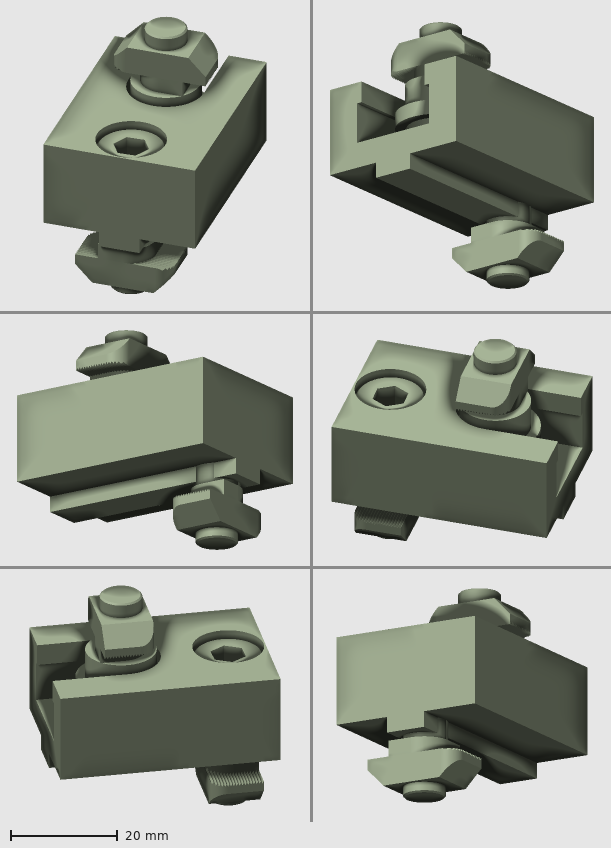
import cadquery as cq
import math


block_width = 30.0
block_length = 42.0
block_height = 17.0
tongue_width = 8.0
tongue_height = 3.03

screw_diameter = 8.0
screw_tip_chamfer = 0.3
head_diameter = 13.0
head_height = 5.0
head_chamfer = 0.3
socket_across_flats = 6.0
socket_depth = 4.45
socket_turn = 2.0

lower_screw_y = -13.97
lower_screw_tip = 11.5
head_recess = 1.5
counterbore_diameter = 13.45
clearance_diameter = 9.0

nut_length = 18.95
nut_depth = 9.85
nut_height = 5.5
nut_straight_height = 2.0
nut_slope_run = 3.43
nut_corner_radius = 3.0
neck_width = 9.8
neck_height = 3.05
neck_corner_radius = 5.0
groove_count = 18
groove_angle = 60.0
lower_nut_gap = 0.95

slide_y = 6.5
bush_neck_diameter = 13.45
bush_neck_projection = 1.5
bush_flange_diameter = 17.1
bush_flange_height = 2.9
slot_width = 14.95
slot_lip = 4.15

upper_screw_tip = 13.0

tongue_bottom = -block_height - tongue_height
lower_head_seat = -head_recess - head_height
lower_shank_length = lower_head_seat - (tongue_bottom - lower_screw_tip)
flange_bottom = -slot_lip - bush_flange_height
upper_shank_length = upper_screw_tip - flange_bottom
slot_depth = head_height - flange_bottom


def cylinder(diameter, height, bottom=0.0, y=0.0):
    """Upright cylinder standing at the given height on the block's centre plane."""
    return cq.Workplane("XY", origin=(0, y, bottom)).circle(diameter / 2).extrude(height)


def slot_cutter(width, bottom, top):
    """Slot with a round inner end, open at the block's +Y end."""
    straight_length = block_length / 2 - slide_y
    straight = (
        cq.Workplane("XY", origin=(0, slide_y + straight_length / 2, bottom))
        .rect(width, straight_length)
        .extrude(top - bottom)
    )
    return straight.union(cylinder(width, top - bottom, bottom, slide_y))


def make_block():
    """Block with a tongue below, a T-slot above and a counterbored screw hole."""
    body = cq.Workplane("XY").rect(block_width, block_length).extrude(-block_height)
    tongue = (
        cq.Workplane("XY", origin=(0, 0, -block_height))
        .rect(tongue_width, block_length)
        .extrude(-tongue_height)
    )
    clearance_hole = cylinder(clearance_diameter, -tongue_bottom, tongue_bottom, lower_screw_y)
    counterbore = cylinder(counterbore_diameter, -lower_head_seat, lower_head_seat, lower_screw_y)
    return (
        body.union(tongue)
        .cut(clearance_hole)
        .cut(counterbore)
        .cut(slot_cutter(slot_width, -slot_lip, 0.0))
        .cut(slot_cutter(bush_flange_diameter, -slot_depth, -slot_lip))
    )


def make_screw(shank_length):
    """Cap screw along Z: head above Z = 0, shank below it."""
    head = cylinder(head_diameter, head_height).faces(">Z").chamfer(head_chamfer)
    shank = cylinder(screw_diameter, shank_length, -shank_length).faces("<Z").chamfer(screw_tip_chamfer)
    socket_corner_diameter = socket_across_flats / math.cos(math.radians(30))
    socket = (
        cq.Workplane("XY", origin=(0, 0, head_height))
        .polygon(6, socket_corner_diameter)
        .extrude(-socket_depth)
        .rotate((0, 0, 0), (0, 0, 1), socket_turn)
    )
    return head.union(shank).cut(socket)


def rounded_box(length, depth, radius, bottom, top):
    """Box with its (-X, -Y) and (+X, +Y) upright edges rounded."""
    box = cq.Workplane("XY", origin=(0, 0, bottom)).rect(length, depth).extrude(top - bottom)
    return box.edges("|Z").edges("<(1, 1, 0) or >(1, 1, 0)").fillet(radius)


def groove_cutter():
    """V-grooves along X, side by side across the nut's bearing face at Z = 0."""
    pitch = nut_depth / groove_count
    groove_depth = pitch / 2 / math.tan(math.radians(groove_angle / 2))
    profile = cq.Workplane("YZ").moveTo(-nut_depth / 2, 0)
    for index in range(groove_count):
        left = -nut_depth / 2 + index * pitch
        profile = profile.lineTo(left + pitch / 2, groove_depth).lineTo(left + pitch, 0)
    below = -groove_depth
    profile = profile.lineTo(nut_depth / 2, below).lineTo(-nut_depth / 2, below).close()
    return profile.extrude(nut_length / 2, both=True)


def make_nut():
    """Clamp nut with its bearing face at Z = 0, its neck below and its sloped body above."""
    half_length = nut_length / 2
    half_top = half_length - nut_slope_run
    body = (
        cq.Workplane("XZ")
        .polyline(
            [
                (-half_length, 0),
                (half_length, 0),
                (half_length, nut_straight_height),
                (half_top, nut_height),
                (-half_top, nut_height),
                (-half_length, nut_straight_height),
            ]
        )
        .close()
        .extrude(nut_depth / 2, both=True)
    )
    outline = rounded_box(nut_length, nut_depth, nut_corner_radius, 0.0, nut_height)
    neck = rounded_box(neck_width, neck_width, neck_corner_radius, -neck_height, nut_height)
    bore = cylinder(screw_diameter, neck_height + nut_height, -neck_height)
    return body.intersect(outline).cut(groove_cutter()).union(neck).cut(bore)


def make_bush():
    """Flanged bush that slides in the T-slot around the upper screw."""
    bush_height = bush_neck_projection - flange_bottom
    flange = cylinder(bush_flange_diameter, bush_flange_height, flange_bottom, slide_y)
    neck = cylinder(bush_neck_diameter, bush_height, flange_bottom, slide_y)
    bore = cylinder(screw_diameter, bush_height, flange_bottom, slide_y)
    return flange.union(neck).cut(bore)


def turned_over(body):
    """The body turned half a turn about X."""
    return body.rotate((0, 0, 0), (1, 0, 0), 180)


block = make_block()
bush = make_bush()

lower_screw = make_screw(lower_shank_length).translate((0, lower_screw_y, lower_head_seat))
upper_screw = turned_over(make_screw(upper_shank_length)).translate((0, slide_y, flange_bottom))

upper_bearing_z = bush_neck_projection + neck_height
lower_bearing_z = tongue_bottom - lower_nut_gap - neck_height
upper_nut = make_nut().translate((0, slide_y, upper_bearing_z))
lower_nut = turned_over(make_nut()).translate((0, lower_screw_y, lower_bearing_z))

bodies = [block, bush, lower_screw, upper_screw, upper_nut, lower_nut]
result = cq.Compound.makeCompound([body.solids().val() for body in bodies])